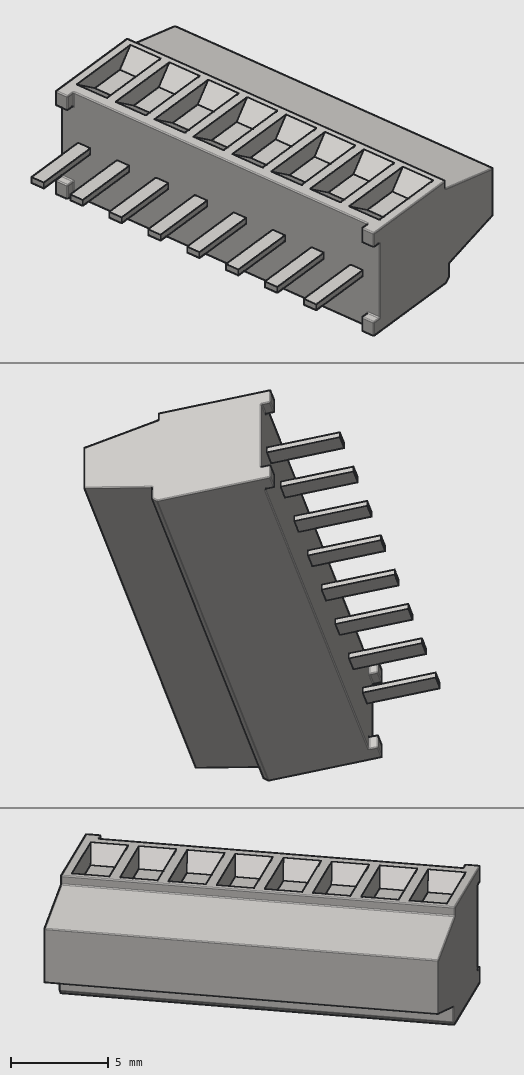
import cadquery as cq

LENGTH = 20.78
DEPTH = 10.0
HEIGHT = 6.5
EDGE_ROUND = 0.06

NOSE_TOP_LENGTH = 4.0
NOSE_BOTTOM_LENGTH = 3.64
NOSE_TIP_TOP_DROP = 1.41
NOSE_ROOT_TOP_DROP = 0.5
NOSE_TIP_BOTTOM_RISE = 2.1
NOSE_ROOT_BOTTOM_RISE = 1.1
LOWER_CORNER_CHAMFER = 0.27

FOOT_LENGTH = 0.5
FOOT_WIDTH = 0.8
FOOT_HEIGHT = 0.91

POLE_COUNT = 8
ROW_END_MARGIN = 0.23
PITCH = (LENGTH - 2 * ROW_END_MARGIN) / POLE_COUNT
POCKET_WIDTH = 1.97
POCKET_LENGTH = 4.5
POCKET_FLOOR_WIDTH = 1.48
POCKET_FLOOR_LENGTH = 2.1
POCKET_DEPTH = 0.8
POCKET_BACK_MARGIN = 0.37
PIN_WIDTH = 0.81
PIN_THICKNESS = 0.37
PIN_LENGTH = 3.9

FRONT_FACE_Y = FOOT_LENGTH
TOP_STEP_Y = DEPTH - NOSE_TOP_LENGTH
BOTTOM_STEP_Y = DEPTH - NOSE_BOTTOM_LENGTH
POCKET_CENTRE_Y = TOP_STEP_Y - POCKET_BACK_MARGIN - POCKET_LENGTH / 2
POLE_POSITIONS = [(i - (POLE_COUNT - 1) / 2) * PITCH for i in range(POLE_COUNT)]


def make_housing():
    """Extrude the side outline along X, add the feet and round the edges."""
    outline = [
        (FRONT_FACE_Y, 0),
        (BOTTOM_STEP_Y - LOWER_CORNER_CHAMFER, 0),
        (BOTTOM_STEP_Y, LOWER_CORNER_CHAMFER),
        (BOTTOM_STEP_Y, NOSE_ROOT_BOTTOM_RISE),
        (DEPTH, NOSE_TIP_BOTTOM_RISE),
        (DEPTH, HEIGHT - NOSE_TIP_TOP_DROP),
        (TOP_STEP_Y, HEIGHT - NOSE_ROOT_TOP_DROP),
        (TOP_STEP_Y, HEIGHT),
        (FRONT_FACE_Y, HEIGHT),
    ]
    housing = cq.Workplane("YZ").polyline(outline).close().extrude(LENGTH / 2, both=True)
    foot_x = (LENGTH - FOOT_WIDTH) / 2
    for x in (-foot_x, foot_x):
        for z in (FOOT_HEIGHT / 2, HEIGHT - FOOT_HEIGHT / 2):
            foot = cq.Workplane("XY").box(FOOT_WIDTH, 2 * FOOT_LENGTH, FOOT_HEIGHT)
            housing = housing.union(foot.translate((x, FRONT_FACE_Y, z)))
    return housing.clean().edges().fillet(EDGE_ROUND)


def make_pocket(x):
    """Rectangular funnel narrowing from the top face down to its floor."""
    return (
        cq.Workplane("XY", origin=(x, POCKET_CENTRE_Y, HEIGHT))
        .rect(POCKET_WIDTH, POCKET_LENGTH)
        .workplane(offset=-POCKET_DEPTH)
        .rect(POCKET_FLOOR_WIDTH, POCKET_FLOOR_LENGTH)
        .loft(ruled=True)
    )


def make_pin(x):
    """Flat pin standing out of the front face at mid height."""
    return (
        cq.Workplane("XZ", origin=(x, FRONT_FACE_Y, HEIGHT / 2))
        .rect(PIN_WIDTH, PIN_THICKNESS)
        .extrude(PIN_LENGTH)
    )


result = make_housing()
for pole_x in POLE_POSITIONS:
    result = result.cut(make_pocket(pole_x)).union(make_pin(pole_x))